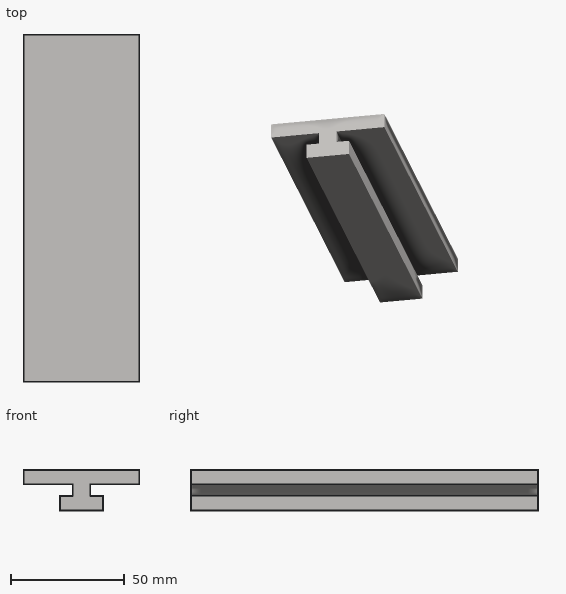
import cadquery as cq

length = 152.4
plate_width = 50.7
height = 17.8

plate_thickness = 6.4
foot_width = 19.0
foot_thickness = 6.4
web_width = 7.8
web_height = height - plate_thickness - foot_thickness


def bar(width, thickness, bottom):
    """Full-length rectangular bar centred on X and Y, resting at the given Z."""
    return (
        cq.Workplane("XY")
        .workplane(offset=bottom)
        .rect(width, length)
        .extrude(thickness)
    )


foot = bar(foot_width, foot_thickness, 0)
web = bar(web_width, web_height, foot_thickness)
plate = bar(plate_width, plate_thickness, foot_thickness + web_height)

result = foot.union(web).union(plate)